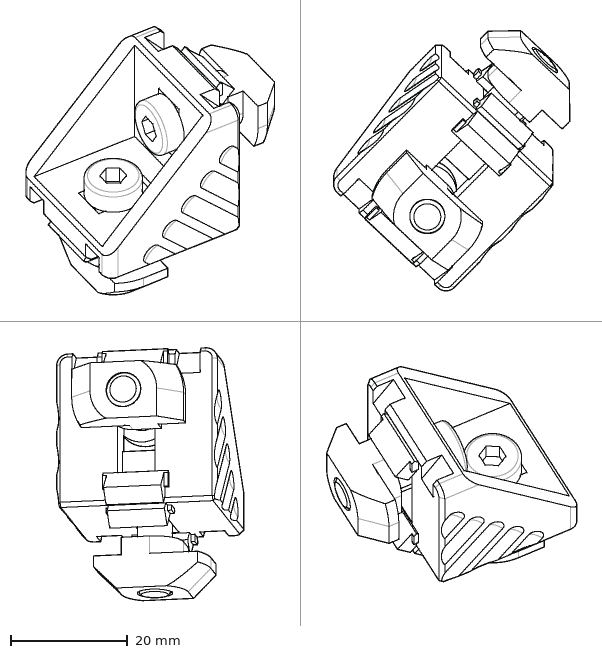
import cadquery as cq
import math

leg_length = 27.0
width = 28.0
end_thickness = 5.3
plate_thickness = 6.0
wall_thickness = 3.0
end_corner_radius = 2.0
base_chamfer = 0.75

slot_width = 6.5
slot_start = 10.3
slot_end = 22.15
slot_web_thickness = 1.5
recess_start = 5.5

notch_inner_x = 6.8
notch_width = 4.35
notch_height = 3.9
notch_length = 4.5
lip_chamfer = 1.0

groove_count = 5
groove_spacing = 5.4
groove_end_distance = 15.0
groove_depth = 0.43
groove_half_width = 1.86
groove_end_bulge = 1.22

screw_position = 17.2
screw_diameter = 6.0
head_diameter = 10.0
head_height = 4.0
head_fillet = 0.6
socket_flats = 4.0
socket_depth = 3.0
screw_tip_depth = 12.0
tip_chamfer = 0.7

nut_neck_size = 9.9
nut_top_depth = 2.85
nut_hammer_depth = 5.9
nut_taper_depth = 7.8
nut_bottom_depth = 11.75
nut_hammer_radius = 9.75

key_length = 4.7
key_thickness = 3.5
key_width = 10.0
key_flange_width = 11.4
key_flange_offset = 0.45
key_flange_rise = 2.8
key_tips = [(-23.45, 4.1), (-2.1, 3.7)]


def to_upright_leg(body):
    """Half turn about the line y = -z, which swaps the two legs."""
    return body.rotate((0, 0, 0), (0, 1, -1), 180)


def on_both_legs(tool):
    return tool.union(to_upright_leg(tool))


def side_prism(points, x_start, x_end):
    """Prism along X over a (y, z) outline."""
    return cq.Workplane("YZ").workplane(offset=x_start).polyline(points).close().extrude(x_end - x_start)


def box_between(low, high):
    size = [b - a for a, b in zip(low, high)]
    return cq.Workplane("XY").box(*size, centered=False).translate(low)


def make_outer_body():
    outline = [
        (0, 0),
        (-leg_length, 0),
        (-leg_length, end_thickness),
        (-end_thickness, leg_length),
        (0, leg_length),
    ]
    body = side_prism(outline, -width / 2, width / 2)
    body = body.faces("<Y").edges("|Z").fillet(end_corner_radius)
    body = body.faces(">Z").edges("|Y").fillet(end_corner_radius)
    return body.faces("<Z or >Y").edges().chamfer(base_chamfer)


def make_pocket():
    inner_half = width / 2 - wall_thickness
    return box_between(
        (-inner_half, -leg_length, plate_thickness),
        (inner_half, -plate_thickness, leg_length),
    )


def make_slot():
    half_width = slot_width / 2
    through_slot = box_between((-half_width, -slot_end, 0), (half_width, -slot_start, plate_thickness))
    recess_depth = plate_thickness - slot_web_thickness
    outer_recess = box_between((-half_width, -slot_end, 0), (half_width, -recess_start, recess_depth))
    return through_slot.union(outer_recess)


def end_bevel(height, length, x_start, x_end):
    """Wedge that bevels the lower edge of the flat leg's free end."""
    wedge = [(-leg_length, 0), (-leg_length, height), (-leg_length + length, 0)]
    return side_prism(wedge, x_start, x_end)


def make_end_cuts():
    notch_outer_x = notch_inner_x + notch_width
    cuts = end_bevel(lip_chamfer, lip_chamfer, -notch_inner_x, notch_inner_x)
    for x_start in (-notch_outer_x, notch_inner_x):
        cuts = cuts.union(end_bevel(notch_height, notch_length, x_start, x_start + notch_width))
    return cuts


def make_groove(offset):
    """Groove in the -X wall, shifted along the sloped edge by offset."""
    diagonal = math.sqrt(0.5)
    end_y = (-groove_end_distance + offset) * diagonal
    end_z = (groove_end_distance + offset) * diagonal
    profile_plane = cq.Plane(
        origin=(-width / 2, end_y, end_z),
        xDir=(0, -diagonal, -diagonal),
        normal=(0, diagonal, -diagonal),
    )
    profile = (
        cq.Sketch()
        .arc((-groove_half_width, 0), (0, -groove_depth), (groove_half_width, 0))
        .close()
        .assemble()
    )
    groove_plane = cq.Workplane(profile_plane).placeSketch(profile)
    run = groove_plane.extrude(leg_length)
    end_radius = (groove_end_bulge**2 + groove_depth**2) / (2 * groove_depth)
    axis_height = end_radius - groove_depth
    end = groove_plane.revolve(360, (-1, axis_height), (1, axis_height))
    return run.union(end)


def make_bracket():
    body = make_outer_body().cut(make_pocket())
    body = body.cut(on_both_legs(make_slot()))
    body = body.cut(on_both_legs(make_end_cuts()))
    for index in range(groove_count):
        groove = make_groove((index - (groove_count - 1) / 2) * groove_spacing)
        body = body.cut(groove).cut(groove.mirror("YZ"))
    return body


def make_screw():
    axis = (0, -screw_position)
    shank = (
        cq.Workplane("XY", origin=(*axis, -screw_tip_depth))
        .circle(screw_diameter / 2)
        .extrude(screw_tip_depth + plate_thickness)
        .faces("<Z")
        .chamfer(tip_chamfer)
    )
    head = (
        cq.Workplane("XY", origin=(*axis, plate_thickness))
        .circle(head_diameter / 2)
        .extrude(head_height)
        .faces(">Z")
        .edges()
        .fillet(head_fillet)
    )
    socket_corners = socket_flats / math.cos(math.pi / 6)
    socket = (
        cq.Workplane("XY", origin=(*axis, plate_thickness + head_height - socket_depth))
        .polygon(6, socket_corners)
        .extrude(socket_depth)
    )
    return shank.union(head).cut(socket)


def make_nut():
    half_neck = nut_neck_size / 2
    bottom_radius = nut_hammer_radius - (nut_bottom_depth - nut_taper_depth)
    half_outline = [
        (0, -nut_top_depth),
        (half_neck, -nut_top_depth),
        (half_neck, -nut_hammer_depth),
        (nut_hammer_radius, -nut_hammer_depth),
        (nut_hammer_radius, -nut_taper_depth),
        (bottom_radius, -nut_bottom_depth),
        (0, -nut_bottom_depth),
        (0, -nut_top_depth),
    ]
    half_profile = cq.Workplane("XZ").placeSketch(cq.Sketch().polygon(half_outline))
    half_block = half_profile.extrude(half_neck, both=True)
    block = half_block.union(half_block.mirror("YZ"))
    turned = half_profile.revolve(360, (0, 0), (0, 1))
    square_quadrants = box_between((0, 0, -nut_bottom_depth), (nut_hammer_radius, half_neck, 0))
    square_quadrants = square_quadrants.union(square_quadrants.rotate((0, 0, 0), (0, 0, 1), 180))
    nut = block.intersect(turned.union(square_quadrants))
    bore = (
        cq.Workplane("XY", origin=(0, 0, -nut_bottom_depth))
        .circle(screw_diameter / 2)
        .extrude(nut_bottom_depth)
    )
    return nut.cut(bore).translate((0, -screw_position, 0))


def make_key(tip_y, tip_depth):
    """Bar tilted 45 degrees with a wider flange, cut off flush with the face of the leg."""
    long_step = key_length * math.sqrt(0.5)
    short_step = key_thickness * math.sqrt(0.5)
    outline = [
        (tip_y, -tip_depth),
        (tip_y - long_step, -tip_depth + long_step),
        (tip_y - long_step + short_step, -tip_depth + long_step + short_step),
        (tip_y + short_step, -tip_depth + short_step),
    ]
    bar = side_prism(outline, -key_width / 2, key_width / 2)
    flange_zone = box_between(
        (-key_flange_width / 2, tip_y - long_step, -tip_depth + key_flange_rise),
        (key_flange_width / 2, tip_y - key_flange_offset, 0),
    )
    flange = side_prism(outline, -key_flange_width / 2, key_flange_width / 2).intersect(flange_zone)
    below_leg = box_between((-width / 2, -2 * leg_length, -leg_length), (width / 2, leg_length, 0))
    return bar.union(flange).intersect(below_leg)


bracket = make_bracket()
leg_hardware = [make_screw(), make_nut()]
for tip_y, tip_depth in key_tips:
    leg_hardware.append(make_key(tip_y, tip_depth))

solids = [bracket.val()]
for body in leg_hardware:
    solids.append(body.val())
    solids.append(to_upright_leg(body).val())

result = cq.Compound.makeCompound(solids)